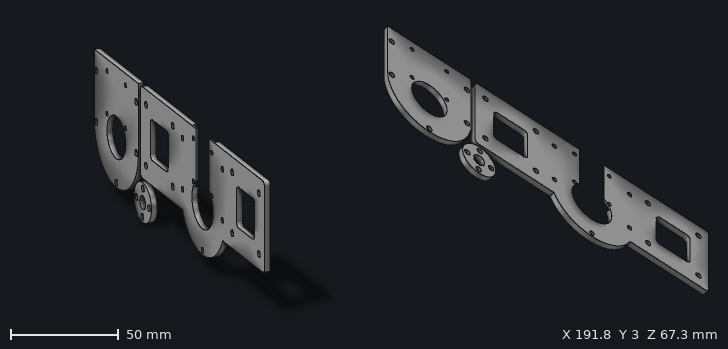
import cadquery as cq
import math

thickness = 3.0
top_z = 35.3
plate_radius = 25.0

side_hole_offset = 22.5
side_hole_rise = 25.3
small_hole_offset = 10.4
small_hole_heights = (8.0, 29.3)
small_hole_diameter = 2.1

bore_diameter = 21.0
end_hole_diameter = 3.0

carrier_x = 97.0
carrier_half_width = 69.8
carrier_height = 45.5
carrier_corner_radius = 2.1
carrier_hole_diameter = 2.5
slot_width = 14.4
slot_bore_diameter = 23.5
recess_width = 25.0
recess_bottom_z = 5.0
lip_thickness = 1.2
mount_offset = 48.5
mount_hole_pitch = 30.1
mount_hole_diameter = 3.0
window_size = 20.1
window_corner_radius = 2.3

hub_x = 29.7
hub_z = -22.0
hub_diameter = 20.0
hub_bore_diameter = 6.5
hub_hole_count = 4
hub_hole_diameter = 3.0
hub_hole_circle_radius = 7.1
hub_rotation = -2.5


def cylinder(x, z, diameter):
    """Cylinder through the full plate thickness."""
    return cq.Workplane("XZ").center(x, z).circle(diameter / 2).extrude(-thickness)


def block(x_min, x_max, z_min, z_max, y_min=0.0):
    """Rectangular block from y_min to the back face."""
    size = (x_max - x_min, thickness - y_min, z_max - z_min)
    return cq.Workplane("XY").box(*size, centered=False).translate((x_min, y_min, z_min))


def drill(body, points, diameter):
    """Cut through holes at the given (x, z) points."""
    for x, z in points:
        body = body.cut(cylinder(x, z, diameter))
    return body


def drill_shared_pattern(body, center_x, side_hole_diameter):
    """Five edge holes and four small holes around a bore centre."""
    side_holes = [(center_x, -side_hole_offset)]
    small_holes = []
    for side in (-1, 1):
        for z in (0.0, side_hole_rise):
            side_holes.append((center_x + side * side_hole_offset, z))
        for z in small_hole_heights:
            small_holes.append((center_x + side * small_hole_offset, z))
    body = drill(body, side_holes, side_hole_diameter)
    return drill(body, small_holes, small_hole_diameter)


def make_end_plate():
    """U-shaped plate with a large bore."""
    body = block(-plate_radius, plate_radius, 0.0, top_z)
    body = body.union(cylinder(0.0, 0.0, 2 * plate_radius))
    body = body.cut(cylinder(0.0, 0.0, bore_diameter))
    return drill_shared_pattern(body, 0.0, end_hole_diameter)


def cut_keyhole(body):
    """Open slot ending in a round bore, with a flat-bottomed rear recess."""
    half_slot = slot_width / 2
    half_recess = recess_width / 2
    body = body.cut(block(carrier_x - half_slot, carrier_x + half_slot, 0.0, top_z))
    body = body.cut(cylinder(carrier_x, 0.0, slot_bore_diameter))
    recess = block(
        carrier_x - half_recess, carrier_x + half_recess, recess_bottom_z, top_z, lip_thickness
    )
    return body.cut(recess)


def cut_motor_mount(body, x):
    """Rounded square window with a hole outside each corner."""
    z = top_z - carrier_height / 2
    half_window = window_size / 2
    half_pitch = mount_hole_pitch / 2
    window = block(x - half_window, x + half_window, z - half_window, z + half_window)
    body = body.cut(window.edges("|Y").fillet(window_corner_radius))
    corners = [(x + i * half_pitch, z + k * half_pitch) for i in (-1, 1) for k in (-1, 1)]
    return drill(body, corners, mount_hole_diameter)


def make_carrier_plate():
    """Wide plate with two motor mounts and a rounded lobe around the keyhole."""
    left = carrier_x - carrier_half_width
    right = carrier_x + carrier_half_width
    body = block(left, right, top_z - carrier_height, top_z)
    body = body.edges("|Y").fillet(carrier_corner_radius)
    body = body.union(cylinder(carrier_x, 0.0, 2 * plate_radius))
    body = cut_keyhole(body)
    for side in (-1, 1):
        body = cut_motor_mount(body, carrier_x + side * mount_offset)
    return drill_shared_pattern(body, carrier_x, carrier_hole_diameter)


def make_hub_disk():
    """Round disk with a centre bore and a slightly turned circle of holes."""
    body = cylinder(hub_x, hub_z, hub_diameter)
    body = body.cut(cylinder(hub_x, hub_z, hub_bore_diameter))
    points = []
    for index in range(hub_hole_count):
        angle = math.radians(hub_rotation + index * 360 / hub_hole_count)
        x = hub_x + hub_hole_circle_radius * math.cos(angle)
        z = hub_z + hub_hole_circle_radius * math.sin(angle)
        points.append((x, z))
    return drill(body, points, hub_hole_diameter)


end_plate = make_end_plate()
carrier_plate = make_carrier_plate()
hub_disk = make_hub_disk()

result = cq.Compound.makeCompound([end_plate.val(), carrier_plate.val(), hub_disk.val()])